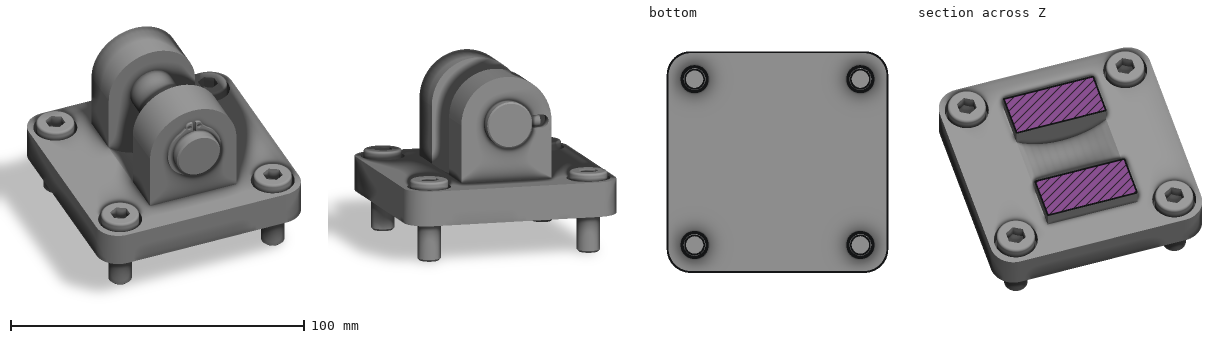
import cadquery as cq
import math

plate_side = 75.0
plate_thickness = 12.0
plate_corner_radius = 8.0

ear_outer_span = 51.0
ear_gap = 21.0
ear_radius = 16.0
axis_above_plate = 20.0
axis_z = plate_thickness + axis_above_plate
ear_thickness = (ear_outer_span - ear_gap) / 2
ear_face_x = ear_outer_span / 2

relief_radius = 25.0
relief_axis_z = plate_thickness + math.sqrt(relief_radius**2 - ear_radius**2)

pin_diameter = 16.0
pin_left_x = -30.0
pin_right_x = 30.5
pin_chamfer = 0.5

groove_diameter = 15.2
groove_width = 1.1
ring_thickness = 1.0
ring_outer_radius = 9.75
ring_drop = 0.5
lug_reach = 11.4
lug_half_span = 3.1
lug_corner_radius = 1.9
lug_root_y = 5.0
lug_root_z = math.sqrt(ring_outer_radius**2 - lug_root_y**2) - ring_drop
ring_half_gap = 0.6
lug_hole_diameter = 1.7
lug_hole_y = 1.8
lug_hole_radial = 9.8

lock_pin_diameter = 4.0
lock_pin_protrusion = 0.3
lock_pin_end_y = -12.0
lock_pin_chamfer_length = 0.85
lock_pin_chamfer_inset = 0.15
lock_pin_bore = 2.4
lock_slot_width = 4.5
lock_slot_end_y = -14.9
lock_pin_x = -ear_face_x - lock_pin_protrusion + lock_pin_diameter / 2
lock_slot_depth = 4.0

screw_spacing = 56.5
screw_diameter = 8.0
screw_length = 20.0
screw_tip_chamfer = 0.75
head_diameter = 13.0
head_height = 8.0
head_fillet = 0.8
head_seat_z = 6.5
hole_diameter = 9.0
counterbore_diameter = 15.0
hex_across_flats = 6.0
hex_depth = 4.0
hex_cone_angle = 120.0


def cylinder_along_x(diameter, x_start, x_end, z=axis_z):
    return cq.Workplane("YZ", origin=(x_start, 0, z)).circle(diameter / 2).extrude(x_end - x_start)


def make_plate():
    plate = cq.Workplane("XY").rect(plate_side, plate_side).extrude(plate_thickness)
    plate = plate.edges("|Z").fillet(plate_corner_radius)
    relief = cylinder_along_x(2 * relief_radius, -ear_gap / 2, ear_gap / 2, relief_axis_z)
    return plate.cut(relief)


def make_ear(x_start):
    return (
        cq.Workplane("YZ", origin=(x_start, 0, axis_z))
        .moveTo(-ear_radius, -axis_above_plate)
        .lineTo(-ear_radius, 0)
        .threePointArc((0, ear_radius), (ear_radius, 0))
        .lineTo(ear_radius, -axis_above_plate)
        .close()
        .extrude(ear_thickness)
    )


def make_hinge_pin():
    pin = cylinder_along_x(pin_diameter, pin_left_x, pin_right_x)
    pin = pin.faces("<X or >X").chamfer(pin_chamfer)
    groove_end_x = ear_face_x + groove_width
    groove = cylinder_along_x(2 * pin_diameter, ear_face_x, groove_end_x)
    groove = groove.cut(cylinder_along_x(groove_diameter, ear_face_x, groove_end_x))
    return pin.cut(groove)


def make_retaining_ring():
    plane = cq.Workplane("YZ", origin=(ear_face_x, 0, axis_z))
    ring = plane.center(0, -ring_drop).circle(ring_outer_radius).extrude(ring_thickness)
    lug = (
        plane.lineTo(0, lug_reach)
        .lineTo(lug_half_span - lug_corner_radius, lug_reach)
        .tangentArcPoint((lug_half_span, lug_reach - lug_corner_radius), relative=False)
        .lineTo(lug_root_y, lug_root_z)
        .close()
        .extrude(ring_thickness)
    )
    lugs = lug.union(lug.mirror("XZ"))
    bore = plane.circle(groove_diameter / 2).extrude(ring_thickness)
    gap = plane.center(0, lug_reach / 2).rect(2 * ring_half_gap, lug_reach).extrude(ring_thickness)
    hole_centres = [(side * lug_hole_y, lug_hole_radial) for side in (-1, 1)]
    holes = plane.pushPoints(hole_centres).circle(lug_hole_diameter / 2).extrude(ring_thickness)
    return ring.union(lugs).cut(bore).cut(gap).cut(holes)


def make_lock_slot():
    end_radius = lock_slot_width / 2
    arc_centre_y = lock_slot_end_y + end_radius
    return (
        cq.Workplane("YZ", origin=(-ear_face_x, 0, axis_z))
        .moveTo(0, end_radius)
        .lineTo(arc_centre_y, end_radius)
        .threePointArc((lock_slot_end_y, 0), (arc_centre_y, -end_radius))
        .lineTo(0, -end_radius)
        .close()
        .extrude(lock_slot_depth)
    )


def make_lock_pin():
    pin = (
        cq.Workplane("XZ", origin=(lock_pin_x, 0, axis_z))
        .circle(lock_pin_diameter / 2)
        .extrude(-lock_pin_end_y)
    )
    pin = pin.faces("<Y").chamfer(lock_pin_chamfer_length, lock_pin_chamfer_inset)
    bore = (
        cq.Workplane("XZ", origin=(lock_pin_x, 0, axis_z))
        .circle(lock_pin_bore / 2)
        .extrude(-lock_pin_end_y)
    )
    return pin.cut(bore)


def make_screw_hole():
    hole = cq.Workplane("XY").circle(hole_diameter / 2).extrude(plate_thickness)
    counterbore = (
        cq.Workplane("XY", origin=(0, 0, head_seat_z))
        .circle(counterbore_diameter / 2)
        .extrude(plate_thickness - head_seat_z)
    )
    return hole.union(counterbore)


def make_screw():
    head = cq.Workplane("XY", origin=(0, 0, head_seat_z)).circle(head_diameter / 2).extrude(head_height)
    head = head.faces(">Z").edges().fillet(head_fillet)
    shank = cq.Workplane("XY", origin=(0, 0, head_seat_z)).circle(screw_diameter / 2).extrude(-screw_length)
    shank = shank.faces("<Z").chamfer(screw_tip_chamfer)

    hex_corner_radius = hex_across_flats / math.sqrt(3)
    head_top_z = head_seat_z + head_height
    socket_floor_z = head_top_z - hex_depth
    cone_depth = hex_corner_radius / math.tan(math.radians(hex_cone_angle / 2))
    socket = (
        cq.Workplane("XY", origin=(0, 0, head_top_z))
        .polygon(6, 2 * hex_corner_radius)
        .extrude(-hex_depth - cone_depth)
    )
    cone_profile = [(0, head_top_z), (hex_corner_radius, head_top_z),
                    (hex_corner_radius, socket_floor_z), (0, socket_floor_z - cone_depth)]
    drill = cq.Workplane("XZ").polyline(cone_profile).close().revolve(360, (0, 0), (0, 1))
    return head.union(shank).cut(socket.intersect(drill))


def make_part():
    body = make_plate()
    for ear_start_x in (-ear_face_x, ear_gap / 2):
        body = body.union(make_ear(ear_start_x))
    body = body.cut(make_lock_slot())
    body = body.union(make_lock_pin()).union(make_hinge_pin()).union(make_retaining_ring())

    hole = make_screw_hole()
    screw = make_screw()
    for x_side in (-1, 1):
        for y_side in (-1, 1):
            place = (x_side * screw_spacing / 2, y_side * screw_spacing / 2, 0)
            body = body.cut(hole.translate(place)).union(screw.translate(place))
    return body


result = make_part()